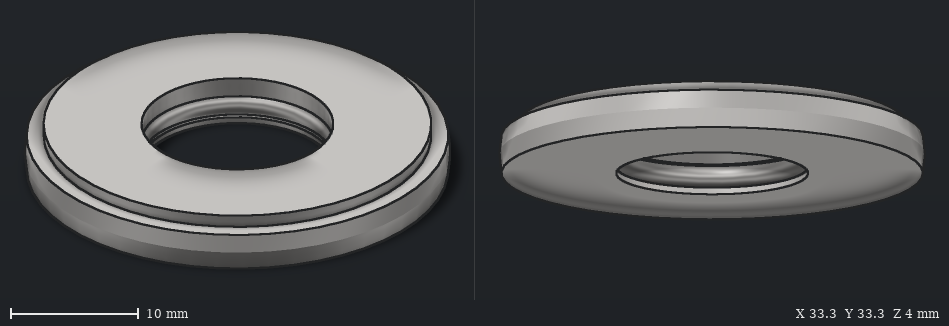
import cadquery as cq

height = 4.0
rim_height = 3.0
rim_radius = 16.65
rim_edge_radius = 16.5
step_radius = 15.15
bore_radius = 7.5

seal_section_radius = 0.93
seal_inner_radius = 7.25
lip_height = 0.53

seal_center_radius = seal_inner_radius + seal_section_radius
seal_center_z = lip_height + seal_section_radius
groove_radius = seal_center_radius + seal_section_radius
groove_top = seal_center_z + seal_section_radius


def make_housing():
    """Stepped ring with a double-tapered rim and a square groove in the bore."""
    profile = [
        (bore_radius, 0),
        (rim_edge_radius, 0),
        (rim_radius, rim_height / 2),
        (rim_edge_radius, rim_height),
        (step_radius, rim_height),
        (step_radius, height),
        (bore_radius, height),
        (bore_radius, groove_top),
        (groove_radius, groove_top),
        (groove_radius, lip_height),
        (bore_radius, lip_height),
    ]
    return cq.Workplane("XZ").polyline(profile).close().revolve(360, (0, 0), (0, 1))


def make_seal():
    """O-ring touching the floor and both sides of the groove."""
    return (
        cq.Workplane("XZ")
        .center(seal_center_radius, seal_center_z)
        .circle(seal_section_radius)
        .revolve(360, (-seal_center_radius, 0), (-seal_center_radius, 1))
    )


housing = make_housing()
seal = make_seal()
result = cq.Compound.makeCompound([housing.val(), seal.val()])